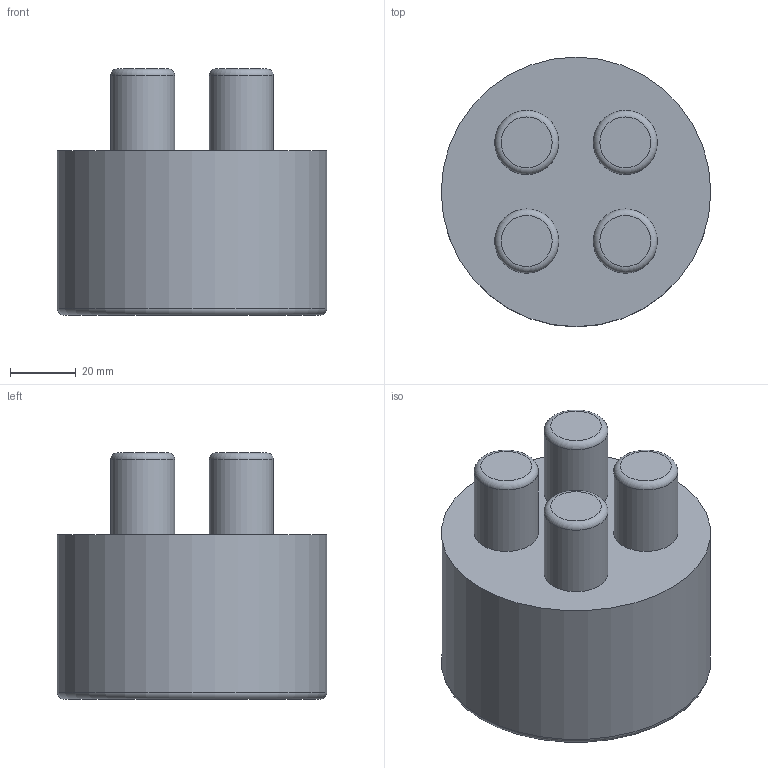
import cadquery as cq

base_diameter = 82.0
base_height = 50.0
base_fillet = 2.0

overall_height = 74.9
pin_diameter = 19.5
pin_height = overall_height - base_height
pin_spacing = 30.0
pin_fillet = 2.0


def make_base():
    """Cylinder with a rounded bottom edge."""
    cylinder = cq.Workplane("XY").circle(base_diameter / 2).extrude(base_height)
    return cylinder.faces("<Z").edges().fillet(base_fillet)


def make_pins():
    """Square pattern of pins with rounded top edges."""
    pins = (
        cq.Workplane("XY")
        .workplane(offset=base_height)
        .rarray(pin_spacing, pin_spacing, 2, 2)
        .circle(pin_diameter / 2)
        .extrude(pin_height)
    )
    return pins.faces(">Z").edges().fillet(pin_fillet)


result = make_base().union(make_pins())